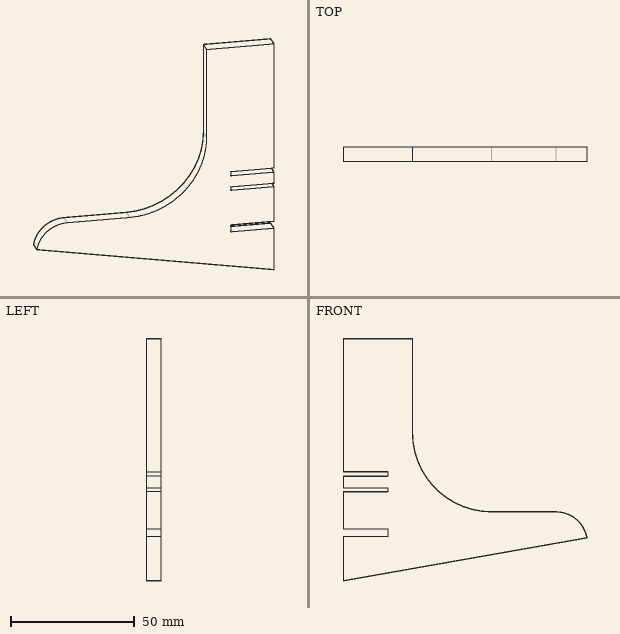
import cadquery as cq
import math

length = 98.5
height = 98.0
thickness = 6.0

upright_width = 28.0
foot_top = 28.0
inner_radius = 31.9
nose_radius = 12.8
underside_angle = 10.0

slot_depth = 17.9
slots = [(18.0, 3.0), (36.0, 1.5), (42.3, 1.8)]

tip_height = length * math.tan(math.radians(underside_angle))


def make_plate():
    """Bracket outline in the XZ plane, with its lower back corner at the origin."""
    nose_drop = foot_top - tip_height
    nose_run = math.sqrt(nose_drop * (2 * nose_radius - nose_drop))
    nose_start = length - nose_run
    inner_end = upright_width + inner_radius
    return (
        cq.Workplane("XZ")
        .moveTo(0, height)
        .lineTo(upright_width, height)
        .lineTo(upright_width, foot_top + inner_radius)
        .tangentArcPoint((inner_end, foot_top), relative=False)
        .lineTo(nose_start, foot_top)
        .tangentArcPoint((length, tip_height), relative=False)
        .lineTo(0, 0)
        .close()
        .extrude(-thickness)
    )


def make_slot(bottom, width):
    """Cutter for a slot running from the back edge through the full thickness."""
    return cq.Workplane("XY").box(slot_depth, thickness, width, centered=False).translate((0, 0, bottom))


result = make_plate()
for slot_bottom, slot_width in slots:
    result = result.cut(make_slot(slot_bottom, slot_width))